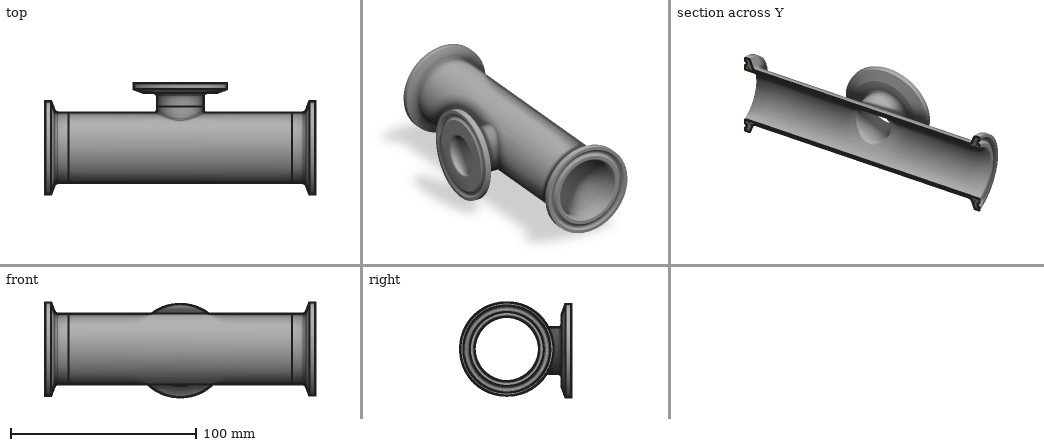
import cadquery as cq
import math

run_length = 146.0
branch_reach = 34.9
branch_drop = 0.9
ferrule_length = 12.7

run_radius = 19.1
branch_radius = 12.7
wall = 1.8
saddle_fillet = 0.9

flange_radius = 25.3
rim_thickness = 3.2
back_angle = math.radians(20)
back_inner_radius = 19.1
neck_fillet = 1.8
branch_neck_fillet = 1.3
bore_edge_fillet = 0.9

groove_radius = 21.8
groove_half_width = 1.8
groove_floor_half_width = 0.9
groove_depth = 1.3
groove_floor_edge_depth = 0.9

run_bore_radius = run_radius - wall
branch_bore_radius = branch_radius - wall


def gasket_groove():
    """Ring with sloping sides and an arched floor that is cut from a sealing face."""
    return (
        cq.Workplane("XZ")
        .moveTo(groove_radius - groove_half_width, 0)
        .lineTo(groove_radius - groove_floor_half_width, groove_floor_edge_depth)
        .threePointArc(
            (groove_radius, groove_depth),
            (groove_radius + groove_floor_half_width, groove_floor_edge_depth),
        )
        .lineTo(groove_radius + groove_half_width, 0)
        .close()
        .revolve(360, (0, 0, 0), (0, 1, 0))
    )


def ferrule(tube_radius, bore_radius, fillet_radius):
    """Clamp ferrule with its sealing face on Z = 0 and its tube running toward +Z."""
    slope_drop = (flange_radius - back_inner_radius) * math.tan(back_angle)
    back_height = rim_thickness + slope_drop
    outline = [
        (bore_radius, 0),
        (flange_radius, 0),
        (flange_radius, rim_thickness),
        (back_inner_radius, back_height),
    ]
    if tube_radius < back_inner_radius:
        outline.append((tube_radius, back_height))
    outline += [(tube_radius, ferrule_length), (bore_radius, ferrule_length)]
    body = cq.Workplane("XZ").polyline(outline).close().revolve(360, (0, 0, 0), (0, 1, 0))

    neck = [
        edge for edge in body.edges("%CIRCLE").vals()
        if math.isclose(edge.radius(), tube_radius, abs_tol=1.46e-06)
        and math.isclose(edge.Center().z, back_height, abs_tol=1.46e-06)
    ]
    body = body.newObject(neck).fillet(fillet_radius)
    body = body.faces("<Z").edges(cq.selectors.RadiusNthSelector(0)).fillet(bore_edge_fillet)
    return body.cut(gasket_groove())


def tee_body():
    """Run tube with the branch stub blended onto it."""
    half_length = run_length / 2 - ferrule_length
    stub_end = branch_reach - ferrule_length

    def run_cylinder(radius):
        return cq.Workplane("YZ").circle(radius).extrude(half_length, both=True)

    def branch_cylinder(radius):
        return cq.Workplane("XZ").center(0, -branch_drop).circle(radius).extrude(-stub_end)

    outside = run_cylinder(run_radius).union(branch_cylinder(branch_radius))
    inside_stub = cq.selectors.BoxSelector(
        (-run_radius, 0, -run_radius), (run_radius, run_radius, run_radius)
    )
    outside = outside.edges(inside_stub).fillet(saddle_fillet)
    return outside.cut(run_cylinder(run_bore_radius)).cut(branch_cylinder(branch_bore_radius))


tee = tee_body()

run_ferrules = []
for side in (-1, 1):
    placed = (
        ferrule(run_radius, run_bore_radius, neck_fillet)
        .rotate((0, 0, 0), (0, 1, 0), -side * 90)
        .translate((side * run_length / 2, 0, 0))
    )
    run_ferrules.append(placed.val())

branch_ferrule = (
    ferrule(branch_radius, branch_bore_radius, branch_neck_fillet)
    .rotate((0, 0, 0), (1, 0, 0), 90)
    .translate((0, branch_reach, -branch_drop))
)

result = cq.Compound.makeCompound([tee.val(), *run_ferrules, branch_ferrule.val()])